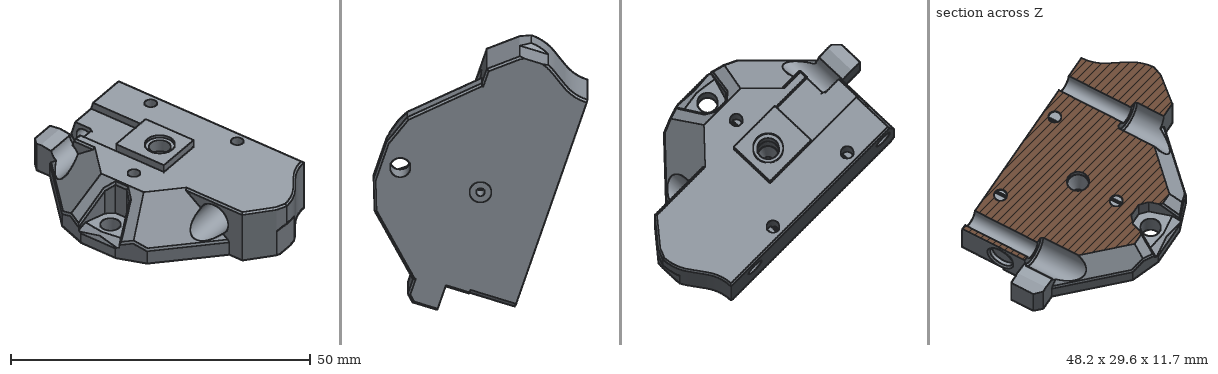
import cadquery as cq
import math

TOP = 10.25
LEFT, RIGHT = -17.95, 25.75
BACK, SHOULDER, NOSE_FRONT = 11.9, -5.8, -17.65
TOP_BEVEL = 0.35
BOTTOM_BEVEL = 0.4

LEAN_START = 6.25
LEAN = 1.15
LEFT_FOOT_BEVEL = 0.85
LEFT_FOOT_END = 3.85

CURVE_START_X = 21.15
CURVE_HOLLOW_END = (22.5, 7.55)
CURVE_CREST_START = (24.1, 5.2)
CURVE_CREST_END = (RIGHT, 0.5)
HOLLOW_RADIUS, CREST_RADIUS = 7.5, 8.4
TIP_CORNER = (25.0, -1.3)
TIP_UNDERSIDE = 5.4

TAB_END = -22.4
TAB_BACK = -0.3
TAB_CORNER = 1.2
TAB_OVERLAP = 1.2
TAB_RIDGE_X, TAB_RIDGE = -20.3, 6.05
TAB_EDGE = 5.78

NOSE_BASE_HALF = 18.45
NOSE_CORNER = (8.75, -15.8)
NOSE_FRONT_HALF = 3.5
NOSE_OVERLAP = 0.5
NOSE_TOP_HALF = 4.4
NOSE_TOP_Y = -10.7
FLANK_STEEPNESS = 1.05
NOSE_BEVEL = 0.3
SKIRT_LOW, SKIRT_HIGH = 2.4, 5.3

POCKET_FLOOR = 3.6
POCKET_BACK_HALF, POCKET_BACK = 1.15, -11.05
POCKET_SHOULDER_HALF, POCKET_SHOULDER = 2.5, -12.23
POCKET_FLARE = 0.32
POCKET_RIM_BEVEL = 0.35
SCREW_DIAMETER, SCREW_Y = 3.4, -14.1
LIP_FRONT = 2.35
LIP_RIDGE_Y, LIP_RIDGE = -17.2, 3.2
LIP_RIM = (4.2, -17.4, 2.6)
LIP_FLOOR = (3.7, -16.08, POCKET_FLOOR)

CABLE_X, CABLE_Z = 15.35, 6.5
CABLE_DIAMETER, CABLE_RELIEF_DIAMETER = 3.2, 5.8
RELIEF_BEVEL = 0.35

CHANNEL_FLOOR = 8.85
CHANNEL_HALF = 4.25
BLOCK_LEFT, BLOCK_RIGHT = -5.95, 3.9
BLOCK_TOP = 11.7
RIB_LEFT, RIB_LEAN = -13.8, 0.45
BORE_DIAMETER, BORE_MOUTH_DIAMETER, BORE_MOUTH_DEPTH = 3.65, 5.05, 0.55

INSERT_TOP = 5.78
FUNNEL_BOTTOM = 2.9
FUNNEL_DIAMETER, FUNNEL_FACETS = 3.55, 36
OUTLET_DIAMETER = 1.4

PIN_DIAMETER, PIN_DEPTH = 2.1, 3.85
PIN_HOLES = [(-8.9, 9.75), (8.9, 9.75), (0.0, -7.4)]
GROOVE_WIDTH, GROOVE_DEPTH = 0.4, 0.5
GROOVE_SHIFTS = [0.25, -0.7, 0.0]

RECESS_Y, RECESS_Z = 4.45, 3.45
RECESS_DIAMETER, RECESS_DEPTH = 4.4, 1.05
RECESS_MOUTH_BEVEL = 0.35

BIG = 48.15
MARGIN = 0.5


def box(x0, x1, y0, y1, z0, z1):
    """Axis-aligned box between two opposite corners."""
    return cq.Workplane().box(x1 - x0, y1 - y0, z1 - z0, centered=False).translate((x0, y0, z0))


def upright_cylinder(x, y, diameter, z0, z1):
    return cq.Workplane("XY", (x, y, z0)).circle(diameter / 2).extrude(z1 - z0)


def below_plane(p, q, r):
    """Large block under the plane through three points, counterclockwise from above."""
    a, b, c = cq.Vector(*p), cq.Vector(*q), cq.Vector(*r)
    plane = cq.Plane(a, xDir=b - a, normal=(b - a).cross(c - a))
    return cq.Workplane(plane).rect(BIG, BIG).extrude(-BIG)


def flip(point):
    """The point mirrored across the symmetry plane of the nose."""
    return (-point[0], *point[1:])


def mirrored(right_side):
    """Outline made of a right half and its mirror image."""
    return right_side + [flip(point) for point in reversed(right_side)]


def main_block():
    """Plate behind the shoulder with a curved right end and a leaning left face."""
    plate = (
        cq.Workplane()
        .moveTo(LEFT, SHOULDER)
        .lineTo(LEFT, BACK)
        .lineTo(CURVE_START_X, BACK)
        .radiusArc(CURVE_HOLLOW_END, -HOLLOW_RADIUS)
        .lineTo(*CURVE_CREST_START)
        .radiusArc(CURVE_CREST_END, CREST_RADIUS)
        .lineTo(*TIP_CORNER)
        .lineTo(CURVE_START_X, SHOULDER)
        .close()
        .extrude(TOP)
    )
    plate = plate.faces(">Z").edges("not <X").chamfer(TOP_BEVEL)
    plate = plate.faces("<Z").edges("not >Y").chamfer(BOTTOM_BEVEL)
    lean = (
        cq.Workplane("XZ", (0, BACK, 0))
        .polyline([(LEFT, LEAN_START), (LEFT + LEAN, TOP), (LEFT, TOP)])
        .close()
        .extrude(BACK - SHOULDER)
    )
    foot = (
        cq.Workplane("XZ", (0, BACK, 0))
        .polyline([(LEFT, 0), (LEFT + LEFT_FOOT_BEVEL, 0), (LEFT, LEFT_FOOT_BEVEL)])
        .close()
        .extrude(BACK - LEFT_FOOT_END)
    )
    overhang = RIGHT - TIP_CORNER[0]
    under_tip = (
        cq.Workplane("XZ", (0, BACK, 0))
        .polyline([
            (TIP_CORNER[0], 0),
            (TIP_CORNER[0], TIP_UNDERSIDE),
            (RIGHT, TIP_UNDERSIDE + overhang),
            (RIGHT, 0),
        ])
        .close()
        .extrude(BACK - SHOULDER)
    )
    return plate.cut(lean).cut(foot).cut(under_tip)


def tab():
    """Ridged tab on the left, running into the main block."""
    inner = LEFT + TAB_OVERLAP
    fall = (TAB_RIDGE - TAB_EDGE) / (TAB_RIDGE_X - TAB_END)
    ridge = (
        cq.Workplane("XZ", (0, TAB_BACK, 0))
        .polyline([
            (TAB_END, 0),
            (TAB_END, TAB_EDGE),
            (TAB_RIDGE_X, TAB_RIDGE),
            (inner, TAB_RIDGE - fall * (inner - TAB_RIDGE_X)),
            (inner, 0),
        ])
        .close()
        .extrude(TAB_BACK - SHOULDER)
    )
    ridge = ridge.edges("|Z and <X and <Y").chamfer(TAB_CORNER)
    return ridge.faces("<Z").edges("not (>X or >Y)").chamfer(BOTTOM_BEVEL)


def slope_cutter(corner_x, outward, steepness):
    """Everything above a slope that starts at a front corner of the nose top."""
    outward = cq.Vector(*outward)
    plane = cq.Plane((corner_x, NOSE_TOP_Y, TOP), xDir=outward, normal=outward.cross(cq.Vector(0, 0, 1)))
    triangle = [(0, 0), (BIG, 0), (BIG, -BIG * steepness)]
    return cq.Workplane(plane).polyline(triangle).close().extrude(BIG, both=True)


def nose_blank():
    """Faceted nose, reaching a little way behind the shoulder."""
    right_side = [
        (NOSE_BASE_HALF, SHOULDER + NOSE_OVERLAP),
        (NOSE_BASE_HALF, SHOULDER),
        NOSE_CORNER,
        (NOSE_FRONT_HALF, NOSE_FRONT),
    ]
    body = cq.Workplane().polyline(mirrored(right_side)).close().extrude(TOP)
    run = NOSE_BASE_HALF - NOSE_CORNER[0]
    drop = SHOULDER - NOSE_CORNER[1]
    body = body.cut(slope_cutter(0, (0, -1, 0), 1))
    for side in (-1, 1):
        body = body.cut(slope_cutter(side * NOSE_TOP_HALF, (side * drop, -run, 0), FLANK_STEEPNESS))
    return body.faces("<Z").edges("not >Y").chamfer(BOTTOM_BEVEL)


def pocket_outline():
    """Corners of the nose pocket seen from above, running out of the front."""
    front = NOSE_FRONT - MARGIN
    front_half = POCKET_SHOULDER_HALF + POCKET_FLARE * (POCKET_SHOULDER - front)
    return mirrored([
        (front_half, front),
        (POCKET_SHOULDER_HALF, POCKET_SHOULDER),
        (POCKET_BACK_HALF, POCKET_BACK),
    ])


def rim_flare():
    """Widening of the pocket along its rim on the 45 degree front slope."""
    slope = cq.Plane((0, NOSE_TOP_Y, TOP), xDir=(1, 0, 0), normal=(0, -1, 1))
    outline = [(x, (y - NOSE_TOP_Y) * math.sqrt(2)) for x, y in pocket_outline()]
    inner = cq.Workplane(slope).polyline(outline).close()
    outer = inner.offset2D(2 * POCKET_RIM_BEVEL, "intersection")
    inner_wire = inner.val().translate(cq.Vector(0, 0, -POCKET_RIM_BEVEL))
    outer_wire = outer.val().translate(cq.Vector(0, 0, POCKET_RIM_BEVEL))
    return cq.Workplane(cq.Solid.makeLoft([inner_wire, outer_wire], True))


def pocket_floor():
    """Everything below the pocket's floor and the facets of its front lip."""
    ridge = (0, LIP_RIDGE_Y, LIP_RIDGE)
    floor = box(-BIG, BIG, -BIG, BIG, 0, POCKET_FLOOR)
    floor = floor.intersect(below_plane(ridge, LIP_RIM, LIP_FLOOR))
    floor = floor.intersect(below_plane(flip(LIP_FLOOR), flip(LIP_RIM), ridge))
    front_corner = (NOSE_FRONT_HALF, NOSE_FRONT, LIP_FRONT)
    return floor.intersect(below_plane(flip(front_corner), front_corner, ridge))


def nose():
    """Nose with bevelled skirt, its pocket with a bevelled rim, and the screw hole."""
    blank = nose_blank()
    skirt = cq.selectors.BoxSelector((-BIG, -BIG, SKIRT_LOW), (BIG, SHOULDER - MARGIN, SKIRT_HIGH))
    body = blank.edges(skirt).edges("not |Z").chamfer(NOSE_BEVEL)
    space = cq.Workplane().polyline(pocket_outline()).close().extrude(TOP)
    body = body.cut(space).cut(rim_flare())
    floor = blank.intersect(space).intersect(pocket_floor())
    return body.union(floor).cut(upright_cylinder(0, SCREW_Y, SCREW_DIAMETER, 0, TOP))


def cable_hole(x):
    """Through hole along Y with a wide relief from the front, bevelled at its bottom."""
    def along_y(y0, y1, diameter):
        return cq.Workplane("XZ", (x, y1, CABLE_Z)).circle(diameter / 2).extrude(y1 - y0)

    relief = along_y(NOSE_FRONT, TAB_BACK, CABLE_RELIEF_DIAMETER).faces(">Y").chamfer(RELIEF_BEVEL)
    return relief.union(along_y(NOSE_FRONT, BACK, CABLE_DIAMETER))


def channel():
    """Channel open to the left, the sloped end of its front rib, and the opening over the left relief."""
    recess = box(LEFT, BLOCK_RIGHT, -CHANNEL_HALF, CHANNEL_HALF, CHANNEL_FLOOR, BLOCK_TOP)
    rib_end = (
        cq.Workplane("XZ", (0, -CHANNEL_HALF, 0))
        .polyline([
            (LEFT, CHANNEL_FLOOR),
            (RIB_LEFT, CHANNEL_FLOOR),
            (RIB_LEFT + RIB_LEAN, TOP),
            (LEFT, TOP),
        ])
        .close()
        .extrude(-CHANNEL_HALF - SHOULDER)
    )
    above_relief = box(LEFT, -CABLE_X, SHOULDER, TAB_BACK, CABLE_Z, TOP)
    return recess.union(rib_end).union(above_relief)


def pin_hole(x, y, groove_shift):
    """Blind hole from the top with a narrow groove across its floor."""
    bottom = TOP - PIN_DEPTH - GROOVE_DEPTH
    groove_left = x + groove_shift - GROOVE_WIDTH / 2
    strip = box(groove_left, groove_left + GROOVE_WIDTH, y - PIN_DIAMETER, y + PIN_DIAMETER, bottom, TOP)
    groove = upright_cylinder(x, y, PIN_DIAMETER, bottom, TOP).intersect(strip)
    return upright_cylinder(x, y, PIN_DIAMETER, TOP - PIN_DEPTH, TOP).union(groove)


def side_recess():
    """Shallow round recess in the left face with a bevelled mouth."""
    radius = RECESS_DIAMETER / 2
    recess = cq.Workplane("YZ", (LEFT, RECESS_Y, RECESS_Z)).circle(radius).extrude(RECESS_DEPTH)
    mouth = cq.Solid.makeCone(
        radius + RECESS_MOUTH_BEVEL,
        radius,
        RECESS_MOUTH_BEVEL,
        pnt=cq.Vector(LEFT, RECESS_Y, RECESS_Z),
        dir=cq.Vector(1, 0, 0),
    )
    return recess.union(cq.Workplane(mouth))


def make_housing():
    body = main_block().union(tab()).union(nose())
    for side in (-1, 1):
        body = body.cut(cable_hole(side * CABLE_X))
    body = body.cut(channel()).cut(side_recess())
    body = body.cut(upright_cylinder(0, 0, BORE_DIAMETER, 0, TOP))
    for (x, y), groove_shift in zip(PIN_HOLES, GROOVE_SHIFTS):
        body = body.cut(pin_hole(x, y, groove_shift))
    return body


def make_block():
    block = box(BLOCK_LEFT, BLOCK_RIGHT, -CHANNEL_HALF, CHANNEL_HALF, CHANNEL_FLOOR, BLOCK_TOP)
    mouth = upright_cylinder(0, 0, BORE_MOUTH_DIAMETER, BLOCK_TOP - BORE_MOUTH_DEPTH, BLOCK_TOP)
    return block.cut(mouth).cut(upright_cylinder(0, 0, BORE_DIAMETER, CHANNEL_FLOOR, BLOCK_TOP))


def make_insert():
    """Round insert at the bottom of the bore with a faceted funnel above its outlet."""
    insert = upright_cylinder(0, 0, BORE_DIAMETER, 0, INSERT_TOP)
    funnel = (
        cq.Workplane("XY", (0, 0, FUNNEL_BOTTOM))
        .polygon(FUNNEL_FACETS, OUTLET_DIAMETER)
        .workplane(offset=INSERT_TOP - FUNNEL_BOTTOM)
        .polygon(FUNNEL_FACETS, FUNNEL_DIAMETER)
        .loft(ruled=True)
    )
    return insert.cut(funnel).cut(upright_cylinder(0, 0, OUTLET_DIAMETER, 0, INSERT_TOP))


housing = make_housing()
block = make_block()
insert = make_insert()

result = cq.Compound.makeCompound([
    housing.solids().val(),
    block.solids().val(),
    insert.solids().val(),
])